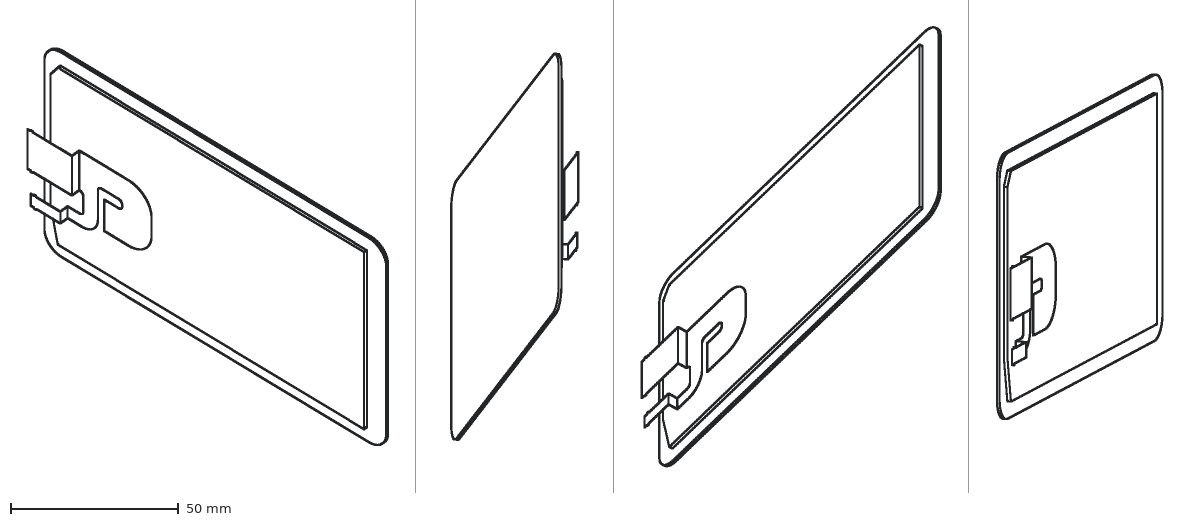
import cadquery as cq

glass_width = 138.2
glass_height = 81.0
glass_thickness = 0.9
glass_corner_radius = 7.0
glass_left = -glass_width / 2
glass_top = glass_height / 2

panel_thickness = 1.15
panel_left = glass_left + 3.5
panel_right = glass_width / 2 - 7.8
panel_top = glass_top - 5.4
panel_bottom = -panel_top
corner_clip_width = 3.0
top_clip_height = 4.4
bottom_clip_height = 14.0
panel_face = -(glass_thickness + panel_thickness)

overall_width = 140.92
overall_depth = 5.4
flex_thickness = 0.1
tail_face = -(overall_depth - flex_thickness)
wide_tail_left = glass_width / 2 - overall_width
wide_tail_fold = wide_tail_left + 17.9
wide_tail_top = 7.35
wide_tail_bottom = wide_tail_top - 15.7
narrow_tail_left = wide_tail_left + 1.3
narrow_tail_fold = wide_tail_left + 13.2
narrow_tail_top = -17.5
narrow_tail_bottom = narrow_tail_top - 4.7

loop_right = wide_tail_left + 47.2
loop_bottom = wide_tail_top - 25.9
loop_radius = 9.3
neck_left = wide_tail_left + 19.6
slot_left = wide_tail_left + 25.5
slot_right = wide_tail_left + 28.1
slot_end = wide_tail_left + 35.3
slot_top = -2.4
slot_bottom = slot_top - 3.7
bend_radius = 6.5
small_radius = 1.5

ear_inset = 1.35
ear_length = 0.8
ear_height = 0.4


def sketch_plane(y):
    """XZ plane at the given Y, with its normal towards -Y."""
    return cq.Workplane("XZ", origin=(0, y, 0))


def box_between(x_range, y_range, z_range):
    """Box spanning the given (low, high) ranges."""
    corner = (x_range[0], y_range[0], z_range[0])
    sizes = [high - low for low, high in (x_range, y_range, z_range)]
    return cq.Workplane("XY").box(*sizes, centered=False).translate(corner)


def make_cover_glass():
    glass = sketch_plane(0).rect(glass_width, glass_height).extrude(glass_thickness)
    return glass.edges("|Y").fillet(glass_corner_radius)


def make_panel():
    clip_right = panel_left + corner_clip_width
    outline = [
        (clip_right, panel_top),
        (panel_right, panel_top),
        (panel_right, panel_bottom),
        (clip_right, panel_bottom),
        (panel_left, panel_bottom + bottom_clip_height),
        (panel_left, panel_top - top_clip_height),
    ]
    return sketch_plane(-glass_thickness).polyline(outline).close().extrude(panel_thickness)


def round_corner(sheet, x, z, radius):
    """Round the edge of the sheet that runs along Y through (x, z)."""
    corner = cq.selectors.NearestToPointSelector((x, panel_face - flex_thickness / 2, z))
    return sheet.edges("|Y").edges(corner).fillet(radius)


def make_flex_loop():
    outline = [
        (wide_tail_fold, wide_tail_top),
        (loop_right, wide_tail_top),
        (loop_right, loop_bottom),
        (slot_right, loop_bottom),
        (slot_right, slot_bottom),
        (slot_end, slot_bottom),
        (slot_end, slot_top),
        (slot_left, slot_top),
        (slot_left, narrow_tail_bottom),
        (narrow_tail_fold, narrow_tail_bottom),
        (narrow_tail_fold, narrow_tail_top),
        (neck_left, narrow_tail_top),
        (neck_left, wide_tail_bottom),
        (wide_tail_fold, wide_tail_bottom),
    ]
    loop = sketch_plane(panel_face).polyline(outline).close().extrude(flex_thickness)
    rounded_corners = [
        (loop_right, wide_tail_top, loop_radius),
        (loop_right, loop_bottom, loop_radius),
        (slot_end, slot_bottom, small_radius),
        (slot_end, slot_top, small_radius),
        (slot_left, slot_top, small_radius),
        (slot_left, narrow_tail_bottom, bend_radius),
        (neck_left, narrow_tail_top, small_radius),
        (neck_left, wide_tail_bottom, small_radius),
    ]
    for x, z, radius in rounded_corners:
        loop = round_corner(loop, x, z, radius)
    return loop


def make_tail(left, fold, bottom, top):
    """Upright wall at the fold, a flat tail running left from it, and an ear band."""
    tail_depth = (-overall_depth, tail_face)
    wall = box_between((fold, fold + flex_thickness), (-overall_depth, panel_face), (bottom, top))
    strip = box_between((left, fold), tail_depth, (bottom, top))
    ear_left = left + ear_inset
    ears = box_between(
        (ear_left, ear_left + ear_length), tail_depth, (bottom - ear_height, top + ear_height)
    )
    return wall.union(strip).union(ears)


def make_display():
    wide_tail = make_tail(wide_tail_left, wide_tail_fold, wide_tail_bottom, wide_tail_top)
    narrow_tail = make_tail(
        narrow_tail_left, narrow_tail_fold, narrow_tail_bottom, narrow_tail_top
    )
    return make_panel().union(make_flex_loop()).union(wide_tail).union(narrow_tail)


cover_glass = make_cover_glass()
display = make_display()
result = cq.Compound.makeCompound([cover_glass.val(), display.val()])